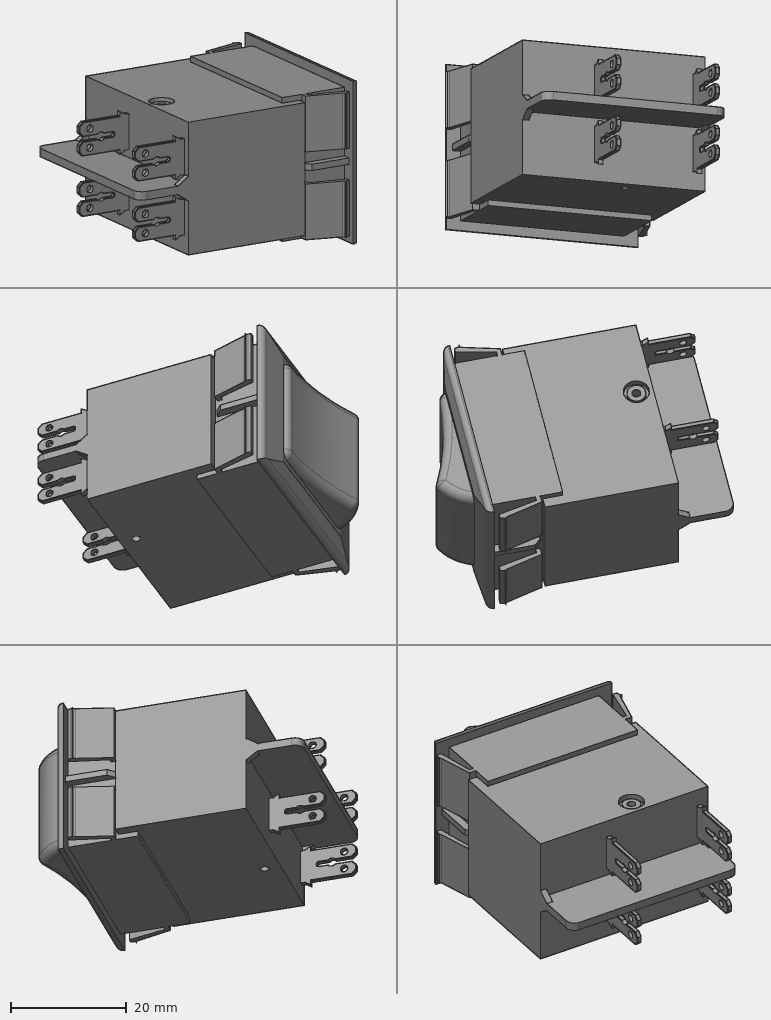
import cadquery as cq


OVERALL_X = 37.54
OVERALL_Y = 50.52
ROCKER_TOP_Y = 7.82

BEZEL_X = 35.74
BEZEL_Z = 29.21
BEZEL_THICKNESS = 2.24
BEZEL_RIM = 1.13
BEZEL_ROUND = 1.2
BEZEL_RUN_X = 6.2
BEZEL_RUN_Z = 3.1

ROCKER_Z = 20.86
ROCKER_BASE_Y = 1.0
ROCKER_LEFT_BASE = (-12.15, ROCKER_BASE_Y)
ROCKER_LEFT_MID = (-10.0, 5.45)
ROCKER_PEAK_TRIM = 0.092
ROCKER_PEAK = (-6.77, ROCKER_TOP_Y + ROCKER_PEAK_TRIM)
ROCKER_DISH_MID = (0.7, 5.06)
ROCKER_NOSE = (11.6, 3.3)
ROCKER_RIGHT_BASE = (12.0, ROCKER_BASE_Y)
ROCKER_PEAK_RADIUS = 0.8
ROCKER_NOSE_RADIUS = 1.2
ROCKER_SIDE_FILLET = 1.6

COLLAR_X = 30.4
COLLAR_Z = 25.8
COLLAR_DEPTH = 12.62

BODY_X = 34.0
BODY_Z = 23.82
BODY_FRONT_Y = -9.13
BODY_REAR_Y = -32.69

CLIP_BASE_Y = -8.67
CLIP_BASE_THICKNESS = 0.85
CLIP_BASE_X = 16.5
CLIP_ROOT_X = 15.95
CLIP_TIP_Y = -0.92
CLIP_TIP_INNER_X = 17.45
CLIP_TIP_OUTER_X = 18.25
CLIP_TOOTH_X = OVERALL_X / 2
CLIP_TOOTH_HALF = 0.06
CLIP_TOOTH_Y = -1.84
CLIP_TOOTH_ROOT_X = 18.4
CLIP_HEAD_Y = -1.41
CLIP_ARM_END_X = 18.2
CLIP_ARM_END_Y = -2.27
CLIP_INNER_Z = 2.89

RIB_X = 16.7
RIB_Z = 1.14
RIB_CHAMFER = 1.18

REAR_Y = ROCKER_TOP_Y - OVERALL_Y
DIVIDER_Z = 1.5
DIVIDER_RADIUS = 1.67
GUSSET_X = 1.18
GUSSET_LENGTH = 2.1
GUSSET_HALF_Z = 2.22

TERMINAL_X = (-3.15, 15.24)
TERMINAL_Z = 5.42
TERMINAL_THICKNESS = 0.88
ROOT_HALF_Z = 3.22
BARB_HALF_Z = 3.85
ROOT_STRAIGHT = 0.75
BARB_Y = -34.46
BLADE_HALF_Z = 3.05
BLADE_CHAMFER = 0.12
PRONG_CHAMFER = 0.75
SLOT_WIDTH = 0.85
SLOT_END_Y = -35.6
SLOT_EYE_Y = -38.3
SLOT_EYE_RADIUS = 0.8
PRONG_HOLE_Y = -40.54
PRONG_HOLE_Z = 1.71
PRONG_HOLE_RADIUS = 0.65

RIVET_X = 3.3
RIVET_Y = -29.74
RECESS_RADIUS = 2.23
RECESS_DEPTH = 1.0
RIVET_RADIUS = 1.64
RIVET_HEIGHT = 0.5
RIVET_BORE_RADIUS = 0.75


def block(size_x, size_z, y_rear, y_front):
    """Box centred on X and Z between two Y planes."""
    centre_y = (y_front + y_rear) / 2
    return cq.Workplane("XY", origin=(0, centre_y, 0)).box(size_x, y_front - y_rear, size_z)


def bezel_bar(plane, half_width, run, half_length):
    """Bar with the bezel cross-section: rounded rim, sloped border, flat front."""
    outline = [
        (-half_width, 0),
        (half_width, 0),
        (half_width, BEZEL_RIM),
        (half_width - run, BEZEL_THICKNESS),
        (run - half_width, BEZEL_THICKNESS),
        (-half_width, BEZEL_RIM),
    ]
    bar = cq.Workplane(plane).polyline(outline).close().extrude(half_length, both=True)
    for side in (-1, 1):
        rim_point = bar.plane.toWorldCoords((side * half_width, BEZEL_RIM, 0))
        rim_edge = cq.selectors.NearestToPointSelector(rim_point.toTuple())
        bar = bar.edges(rim_edge).fillet(BEZEL_ROUND)
    return bar


def make_bezel():
    along_z = bezel_bar("XY", BEZEL_X / 2, BEZEL_RUN_X, BEZEL_Z / 2)
    along_x = bezel_bar("ZY", BEZEL_Z / 2, BEZEL_RUN_Z, BEZEL_X / 2)
    return along_z.intersect(along_x)


def make_rocker():
    rocker = (
        cq.Workplane("XY")
        .moveTo(*ROCKER_LEFT_BASE)
        .threePointArc(ROCKER_LEFT_MID, ROCKER_PEAK)
        .threePointArc(ROCKER_DISH_MID, ROCKER_NOSE)
        .lineTo(*ROCKER_RIGHT_BASE)
        .close()
        .extrude(ROCKER_Z / 2, both=True)
    )
    rocker = rocker.edges("|Z").edges(">Y").fillet(ROCKER_PEAK_RADIUS)
    nose_edge = cq.selectors.NearestToPointSelector((*ROCKER_NOSE, 0))
    rocker = rocker.edges(nose_edge).fillet(ROCKER_NOSE_RADIUS)
    return rocker.faces("<Z or >Z").edges("not <Y").fillet(ROCKER_SIDE_FILLET)


def make_clip():
    """One snap clip on the +X side, above Z = 0."""
    base_top_y = CLIP_BASE_Y + CLIP_BASE_THICKNESS
    outline = [
        (0, CLIP_BASE_Y),
        (CLIP_BASE_X, CLIP_BASE_Y),
        (CLIP_ARM_END_X, CLIP_ARM_END_Y),
        (CLIP_TOOTH_ROOT_X, CLIP_TOOTH_Y - CLIP_TOOTH_HALF),
        (CLIP_TOOTH_X, CLIP_TOOTH_Y),
        (CLIP_TOOTH_ROOT_X, CLIP_TOOTH_Y + CLIP_TOOTH_HALF),
        (CLIP_TOOTH_ROOT_X, CLIP_HEAD_Y),
        (CLIP_TIP_OUTER_X, CLIP_TIP_Y),
        (CLIP_TIP_INNER_X, CLIP_TIP_Y),
        (CLIP_ROOT_X, base_top_y),
        (0, base_top_y),
    ]
    width = COLLAR_Z / 2 - CLIP_INNER_Z
    return cq.Workplane("XY", origin=(0, 0, CLIP_INNER_Z)).polyline(outline).close().extrude(width)


def make_clips():
    upper = make_clip()
    upper = upper.union(upper.mirror("YZ"))
    return upper.union(upper.mirror("XY"))


def make_ribs():
    """Both locating ribs as one bar through the collar."""
    bar = block(2 * RIB_X, RIB_Z, CLIP_BASE_Y, 0)
    return bar.edges("|Z and <Y").chamfer(RIB_CHAMFER)


def make_divider():
    plate = block(BODY_X, DIVIDER_Z, REAR_Y, BODY_REAR_Y)
    plate = plate.edges("|Z and <Y").fillet(DIVIDER_RADIUS)
    tip_y = BODY_REAR_Y - GUSSET_LENGTH
    outline = [
        (BODY_REAR_Y, -GUSSET_HALF_Z),
        (tip_y, -DIVIDER_Z / 2),
        (tip_y, DIVIDER_Z / 2),
        (BODY_REAR_Y, GUSSET_HALF_Z),
    ]
    for start_x in (-BODY_X / 2, BODY_X / 2 - GUSSET_X):
        gusset = cq.Workplane("YZ", origin=(start_x, 0, 0)).polyline(outline).close().extrude(GUSSET_X)
        plate = plate.union(gusset)
    return plate


def make_terminal():
    """Slotted blade terminal centred on X = 0 and Z = 0."""
    blade = (
        cq.Workplane("YZ")
        .moveTo((REAR_Y + BODY_REAR_Y) / 2, 0)
        .rect(BODY_REAR_Y - REAR_Y, 2 * BLADE_HALF_Z)
        .extrude(TERMINAL_THICKNESS / 2, both=True)
    )
    slot_centre_y = SLOT_END_Y - SLOT_WIDTH / 2
    slot = (
        cq.Workplane("YZ")
        .moveTo(slot_centre_y, SLOT_WIDTH / 2)
        .threePointArc((SLOT_END_Y, 0), (slot_centre_y, -SLOT_WIDTH / 2))
        .lineTo(REAR_Y, -SLOT_WIDTH / 2)
        .lineTo(REAR_Y, SLOT_WIDTH / 2)
        .close()
        .extrude(TERMINAL_THICKNESS, both=True)
    )
    blade = blade.cut(slot)
    blade = blade.edges("|X and <Y").chamfer(PRONG_CHAMFER)
    blade = blade.faces("<X or >X").chamfer(BLADE_CHAMFER)
    holes = (
        cq.Workplane("YZ")
        .pushPoints([(PRONG_HOLE_Y, PRONG_HOLE_Z), (PRONG_HOLE_Y, -PRONG_HOLE_Z)])
        .circle(PRONG_HOLE_RADIUS)
        .extrude(TERMINAL_THICKNESS, both=True)
    )
    eye = (
        cq.Workplane("YZ")
        .moveTo(SLOT_EYE_Y, 0)
        .circle(SLOT_EYE_RADIUS)
        .extrude(TERMINAL_THICKNESS, both=True)
    )
    straight_y = BODY_REAR_Y - ROOT_STRAIGHT
    root_outline = [
        (BODY_REAR_Y, -ROOT_HALF_Z),
        (straight_y, -ROOT_HALF_Z),
        (BARB_Y, -BARB_HALF_Z),
        (BARB_Y, BARB_HALF_Z),
        (straight_y, ROOT_HALF_Z),
        (BODY_REAR_Y, ROOT_HALF_Z),
    ]
    root = cq.Workplane("YZ").polyline(root_outline).close().extrude(TERMINAL_THICKNESS / 2, both=True)
    return blade.cut(holes).cut(eye).union(root)


def rivet_cylinder(radius, z_bottom, z_top):
    return (
        cq.Workplane("XY", origin=(RIVET_X, RIVET_Y, z_bottom))
        .circle(radius)
        .extrude(z_top - z_bottom)
    )


def add_rivet(part):
    """Recess with a tubular rivet in the top face, bored right through the housing."""
    top = BODY_Z / 2
    floor = top - RECESS_DEPTH
    part = part.cut(rivet_cylinder(RECESS_RADIUS, floor, top))
    part = part.union(rivet_cylinder(RIVET_RADIUS, floor, floor + RIVET_HEIGHT))
    return part.cut(rivet_cylinder(RIVET_BORE_RADIUS, -top, top))


result = block(BODY_X, BODY_Z, BODY_REAR_Y, BODY_FRONT_Y)
result = result.union(block(COLLAR_X, COLLAR_Z, -COLLAR_DEPTH, 0))
result = result.union(make_bezel())
result = result.union(make_rocker())
result = result.union(make_clips())
result = result.union(make_ribs())
result = result.union(make_divider())
terminal = make_terminal()
for terminal_x in TERMINAL_X:
    for terminal_z in (-TERMINAL_Z, TERMINAL_Z):
        result = result.union(terminal.translate((terminal_x, 0, terminal_z)))
result = add_rivet(result)